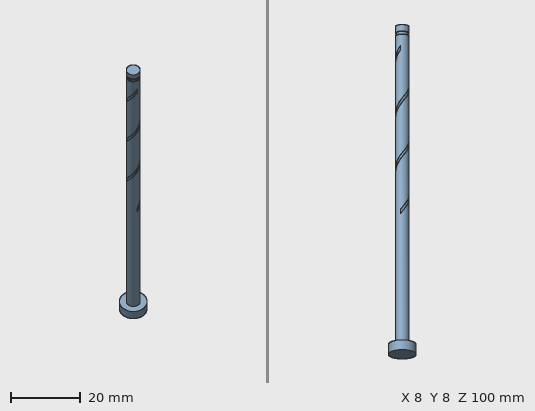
import cadquery as cq

total_length = 100.0
head_diameter = 8.0
head_height = 3.0
shaft_radius = 2.0

ring_groove_radius = 1.7
ring_groove_width = 0.9
tip_length = 2.0

helix_turns = 3
helix_height = 50.0
helix_pitch = helix_height / helix_turns
helix_start_z = 43.0
helix_groove_height = 1.2
helix_groove_depth = 0.1
cutter_overhang = 0.3


def make_headed_pin():
    head = cq.Workplane("XY").circle(head_diameter / 2).extrude(head_height)
    shaft = cq.Workplane("XY").circle(shaft_radius).extrude(total_length)
    return head.union(shaft)


def make_ring_cutter():
    groove_bottom_z = total_length - tip_length - ring_groove_width
    return (
        cq.Workplane("XY", origin=(0, 0, groove_bottom_z))
        .circle(shaft_radius + cutter_overhang)
        .circle(ring_groove_radius)
        .extrude(ring_groove_width)
    )


def make_helix_cutter():
    path = cq.Wire.makeHelix(helix_pitch, helix_height, shaft_radius, center=cq.Vector(0, 0, helix_start_z))
    section_width = helix_groove_depth + cutter_overhang
    section_center_x = shaft_radius - helix_groove_depth + section_width / 2
    return (
        cq.Workplane("XZ")
        .center(section_center_x, helix_start_z)
        .rect(section_width, helix_groove_height)
        .sweep(cq.Workplane(obj=path), isFrenet=True)
    )


result = make_headed_pin().cut(make_ring_cutter()).cut(make_helix_cutter())